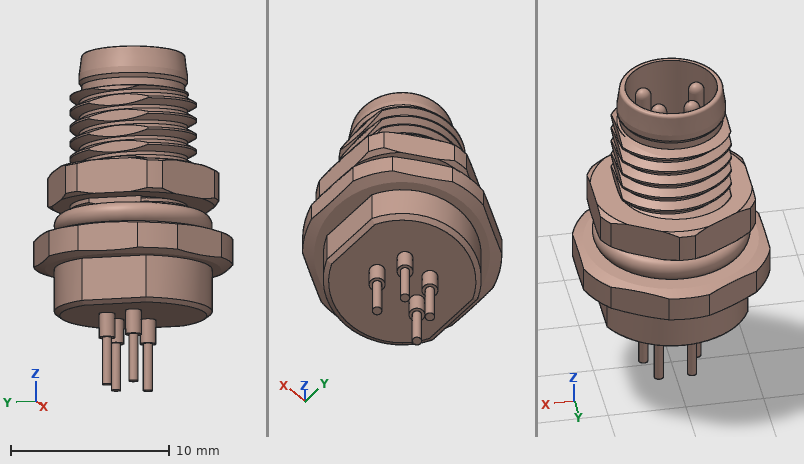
import cadquery as cq
import math

total_height = 21.3
collar_bottom = 3.0
base_bottom = 4.54
flange_bottom = 7.5
flange_top = 9.58
seal_top = 11.03
nut_bottom = 11.55
nut_top = 13.72
thread_top = 18.79

base_diameter = 10.0
base_width = 9.05
base_chamfer_height = 0.25
base_chamfer_depth = 0.35

flange_across_flats = 12.0
flange_corner_diameter = 12.6
flange_face_diameter = 11.12
flange_chamfer_height = 0.23
nut_across_flats = 10.0
nut_corner_diameter = 11.0
nut_face_diameter = 10.27
nut_chamfer_height = 0.2

seal_diameter = 10.0

thread_diameter = 8.0
core_diameter = 6.88
thread_width = 7.0
thread_pitch = 1.0
thread_crest = thread_pitch / 8
thread_flank_angle = 30
thread_top_face_diameter = 6.55
thread_top_chamfer_height = 0.2
thread_bottom_face_diameter = 7.22
thread_bottom_chamfer_height = 0.23
groove_overcut = 0.06
groove_start_height = 11.35
groove_start_angle = 203

neck_diameter = 6.54
nose_diameter = 6.88
nose_tip_diameter = 6.52
nose_bottom = 19.28
nose_chamfer_top = 19.53
nose_taper_bottom = 19.94
rim_round = 0.2
socket_diameter = 5.84
socket_depth = 6.0

pin_diameter = 1.0
pin_top = 21.0
tail_diameter = 0.6
rear_pin_x = 1.06
rear_pin_y = 1.43
front_pin_x = 1.7
front_pin_y = -0.5


def cylinder(diameter, bottom, top):
    """An upright round bar on the part's axis."""
    return cq.Workplane("XY").workplane(offset=bottom).circle(diameter / 2).extrude(top - bottom)


def slab(width, bottom, top):
    """A block with faces at +X and -X, long enough in Y to span the part."""
    length = 2 * flange_corner_diameter
    return cq.Workplane("XY").workplane(offset=bottom).rect(width, length).extrude(top - bottom)


def hexagon(across_flats, corner_diameter, face_diameter, chamfer_height, bottom, top):
    """A hexagonal prism with flats at +X and -X, trimmed by a round with conical ends."""
    across_corners = across_flats / math.cos(math.radians(30))
    prism = (
        cq.Workplane("XY", origin=(0, 0, bottom))
        .transformed(rotate=(0, 0, 30))
        .polygon(6, across_corners)
        .extrude(top - bottom)
    )
    corner = corner_diameter / 2
    face = face_diameter / 2
    envelope = (
        cq.Workplane("XZ")
        .polyline([
            (0, bottom),
            (face, bottom),
            (corner, bottom + chamfer_height),
            (corner, top - chamfer_height),
            (face, top),
            (0, top),
        ])
        .close()
        .revolve(360, (0, 0, 0), (0, 1, 0))
    )
    return prism.intersect(envelope)


def base():
    """The flatted round, its lower edge tapering inward all the way around."""
    chamfer_top = base_bottom + base_chamfer_height
    body = cylinder(base_diameter, chamfer_top, flange_bottom)
    body = body.intersect(slab(base_width, chamfer_top, flange_bottom))
    chamfer_angle = math.degrees(math.atan2(base_chamfer_depth, base_chamfer_height))
    chamfered_end = body.faces("<Z").wires().toPending().extrude(
        -base_chamfer_height, taper=chamfer_angle, combine=False
    )
    return body.union(chamfered_end)


def seal():
    """The sealing ring, lying on the flange around a plain stretch of the core."""
    section_radius = (seal_top - flange_top) / 2
    ring_radius = seal_diameter / 2 - section_radius
    middle = flange_top + section_radius
    core_radius = core_diameter / 2
    profile = (
        cq.Workplane("XZ")
        .moveTo(0, flange_top)
        .lineTo(ring_radius, flange_top)
        .threePointArc((ring_radius + section_radius, middle), (ring_radius, seal_top))
        .radiusArc((ring_radius - section_radius, middle), -section_radius)
        .lineTo(core_radius, middle)
        .lineTo(core_radius, seal_top)
        .lineTo(0, seal_top)
        .close()
    )
    return profile.revolve(360, (0, 0, 0), (0, 1, 0))


def groove_turn():
    """One turn of the right-hand V-groove between the thread crests, starting at height 0."""
    root_radius = core_diameter / 2
    outer_radius = thread_diameter / 2 + groove_overcut
    flank_slope = math.tan(math.radians(thread_flank_angle))
    half_mouth = (thread_pitch - thread_crest) / 2 + groove_overcut * flank_slope
    half_root = half_mouth - (outer_radius - root_radius) * flank_slope

    helix = cq.Wire.makeHelix(thread_pitch, thread_pitch, root_radius)
    return (
        cq.Workplane("XZ")
        .polyline([
            (root_radius, -half_root),
            (outer_radius, -half_mouth),
            (outer_radius, half_mouth),
            (root_radius, half_root),
        ])
        .close()
        .sweep(cq.Workplane(helix), isFrenet=True)
        .rotate((0, 0, 0), (0, 0, 1), groove_start_angle)
    )


def thread():
    """A round bar with chamfered ends, flattened at +X and -X and grooved."""
    outer = thread_diameter / 2
    bar = (
        cq.Workplane("XZ")
        .polyline([
            (0, seal_top),
            (thread_bottom_face_diameter / 2, seal_top),
            (outer, seal_top + thread_bottom_chamfer_height),
            (outer, thread_top - thread_top_chamfer_height),
            (thread_top_face_diameter / 2, thread_top),
            (0, thread_top),
        ])
        .close()
        .revolve(360, (0, 0, 0), (0, 1, 0))
    )
    body = bar.intersect(slab(thread_width, seal_top, thread_top))

    turn = groove_turn()
    turns = math.ceil((thread_top - groove_start_height) / thread_pitch)
    for index in range(turns):
        body = body.cut(turn.translate((0, 0, groove_start_height + index * thread_pitch)))
    return body


def nose():
    """The neck and the tapered snap-in head above the thread."""
    neck = neck_diameter / 2
    head = nose_diameter / 2
    tip = nose_tip_diameter / 2
    profile = (
        cq.Workplane("XZ")
        .polyline([
            (0, thread_top),
            (neck, thread_top),
            (neck, nose_bottom),
            (head, nose_chamfer_top),
            (head, nose_taper_bottom),
            (tip, total_height),
            (0, total_height),
        ])
        .close()
    )
    return profile.revolve(360, (0, 0, 0), (0, 1, 0)).faces(">Z").edges().fillet(rim_round)


def socket():
    """The round blind bore around the pins."""
    return cylinder(socket_diameter, total_height - socket_depth, total_height)


def contact(x, y):
    """A round-nosed pin above, a collar below the base and a thinner solder tail."""
    dome_middle = pin_top - pin_diameter / 2
    pin = cylinder(pin_diameter, collar_bottom, dome_middle)
    dome = cq.Workplane("XY").sphere(pin_diameter / 2).translate((0, 0, dome_middle))
    tail = cylinder(tail_diameter, 0, collar_bottom)
    return pin.union(dome).union(tail).translate((x, y, 0))


flange = hexagon(
    flange_across_flats,
    flange_corner_diameter,
    flange_face_diameter,
    flange_chamfer_height,
    flange_bottom,
    flange_top,
)
nut = hexagon(
    nut_across_flats,
    nut_corner_diameter,
    nut_face_diameter,
    nut_chamfer_height,
    nut_bottom,
    nut_top,
)

result = base().union(flange).union(seal()).union(thread()).union(nut).union(nose()).cut(socket())
for side in (-1, 1):
    result = result.union(contact(side * rear_pin_x, rear_pin_y))
    result = result.union(contact(side * front_pin_x, front_pin_y))